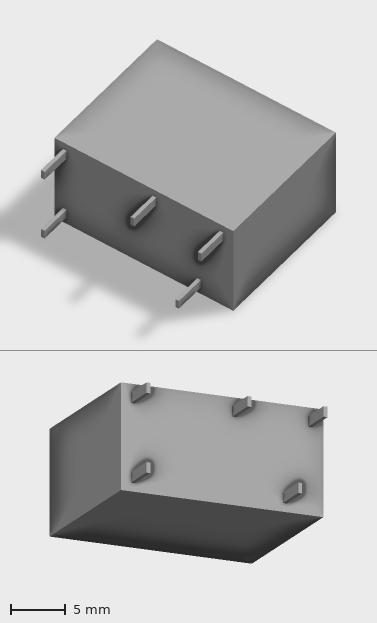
import cadquery as cq

body_width = 20.3
body_depth = 15.8
body_height = 10.3

pin_length = 3.4
pin_width = 0.4
pin_height = 1.0
grid = 2.54
row_spacing = 3 * grid
first_column_inset = 1.2

first_column_x = -body_width / 2 + first_column_inset
upper_row_z = row_spacing / 2
lower_row_z = -row_spacing / 2

upper_row_steps = (0, 4, 7)
lower_row_steps = (0, 6)


def make_body():
    """Block centred on X and Z, with the terminal face on Y = 0."""
    return cq.Workplane("XY").box(body_width, body_depth, body_height, centered=(True, False, True))


def make_pin_row(steps, row_z):
    """One row of pins reaching from the terminal face toward -Y."""
    centres = [(first_column_x + step * grid, row_z) for step in steps]
    return cq.Workplane("XZ").pushPoints(centres).rect(pin_width, pin_height).extrude(pin_length)


result = (
    make_body()
    .union(make_pin_row(upper_row_steps, upper_row_z))
    .union(make_pin_row(lower_row_steps, lower_row_z))
)